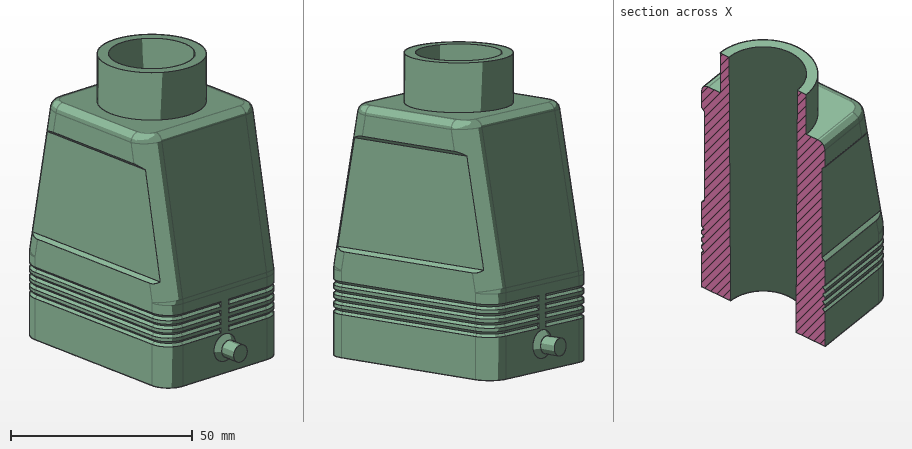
import cadquery as cq
import math

BODY_LENGTH = 60.2
BODY_WIDTH = 43.0
TOTAL_HEIGHT = 85.5
BODY_HEIGHT = 71.6
BEND_HEIGHT = 25.0
END_WALL_LEAN = 11.0
BEND_RADIUS = 6.8
CORNER_RADIUS = 6.0
TOP_EDGE_RADIUS = 2.5

COLLAR_DIAMETER = 30.1
BORE_MOUTH_DIAMETER = 23.8
BORE_FOOT_DIAMETER = 22.75

RECESS_BOTTOM = 29.8
RECESS_TOP = 63.1
RECESS_DEPTH = 1.0

GROOVE_COUNT = 4
LOWEST_GROOVE_HEIGHT = 12.9
GROOVE_PITCH = 2.6
GROOVE_DEPTH = 0.8
GROOVE_FLANK_ANGLE = 45.0
GROOVE_GAP = 3.0

PIN_SPAN = 73.0
PIN_DIAMETER = 5.05
PIN_HEIGHT = 7.5
PIN_BASE_DIAMETER = 8.0

CLEARANCE = 0.85


def make_body():
    """Rounded block with vertical lower walls and end walls that lean inwards."""
    half_length = BODY_LENGTH / 2
    half_top = half_length - (BODY_HEIGHT - BEND_HEIGHT) * math.tan(math.radians(END_WALL_LEAN))
    outline = [
        (-half_length, 0),
        (half_length, 0),
        (half_length, BEND_HEIGHT),
        (half_top, BODY_HEIGHT),
        (-half_top, BODY_HEIGHT),
        (-half_length, BEND_HEIGHT),
    ]
    block = cq.Workplane("XZ").polyline(outline).close().extrude(BODY_WIDTH / 2, both=True)

    bend_edges = cq.selectors.BoxSelector(
        (-BODY_LENGTH, -BODY_WIDTH, BEND_HEIGHT - CLEARANCE),
        (BODY_LENGTH, BODY_WIDTH, BEND_HEIGHT + CLEARANCE),
    )
    block = block.edges("|Y").edges(bend_edges).fillet(BEND_RADIUS)
    block = block.faces("<Y or >Y").edges("not |X").fillet(CORNER_RADIUS)
    return block.faces(">Z").edges().fillet(TOP_EDGE_RADIUS)


def make_recess(side):
    """Cutter for one recess; side is -1 for the front face and 1 for the back."""
    face_y = side * BODY_WIDTH / 2
    floor_y = face_y - side * RECESS_DEPTH
    outside_y = face_y + side * CLEARANCE
    section = [
        (outside_y, RECESS_BOTTOM - CLEARANCE),
        (floor_y, RECESS_BOTTOM + RECESS_DEPTH),
        (floor_y, RECESS_TOP - RECESS_DEPTH),
        (outside_y, RECESS_TOP + CLEARANCE),
    ]
    return cq.Workplane("YZ").polyline(section).close().extrude(BODY_LENGTH / 2, both=True)


def rounded_foot(height):
    """Workplane at a height carrying the plan outline of the foot."""
    outline = cq.Sketch().rect(BODY_LENGTH, BODY_WIDTH).vertices().fillet(CORNER_RADIUS)
    return cq.Workplane("XY", origin=(0, 0, height)).placeSketch(outline)


def make_groove(height):
    """Cutter for one V-groove around the foot, open at the middle of each end wall."""
    ring = cq.Workplane("XY", origin=(0, 0, height)).box(
        BODY_LENGTH + 2 * CLEARANCE, BODY_WIDTH + 2 * CLEARANCE, 2 * GROOVE_DEPTH
    )
    lower_core = rounded_foot(height - GROOVE_DEPTH).extrude(GROOVE_DEPTH, taper=GROOVE_FLANK_ANGLE)
    upper_core = rounded_foot(height + GROOVE_DEPTH).extrude(-GROOVE_DEPTH, taper=GROOVE_FLANK_ANGLE)
    gap = cq.Workplane("XY", origin=(0, 0, height)).box(
        2 * BODY_LENGTH, GROOVE_GAP, 4 * GROOVE_DEPTH
    )
    return ring.cut(lower_core).cut(upper_core).cut(gap)


def make_pin(side):
    """Locking pin with a conical root; side is -1 or 1 along X."""
    wall_x = BODY_LENGTH / 2
    cone_length = (PIN_BASE_DIAMETER - PIN_DIAMETER) / 2
    half_section = [
        (wall_x - CLEARANCE, 0),
        (wall_x - CLEARANCE, PIN_BASE_DIAMETER / 2),
        (wall_x, PIN_BASE_DIAMETER / 2),
        (wall_x + cone_length, PIN_DIAMETER / 2),
        (PIN_SPAN / 2, PIN_DIAMETER / 2),
        (PIN_SPAN / 2, 0),
    ]
    pin = cq.Workplane("XY").polyline(half_section).close().revolve(360, (0, 0, 0), (1, 0, 0))
    if side < 0:
        pin = pin.mirror("YZ")
    return pin.translate((0, 0, PIN_HEIGHT))


def make_collar():
    """Round cable collar, started slightly below the body's top face."""
    root = BODY_HEIGHT - CLEARANCE
    return cq.Workplane("XY", origin=(0, 0, root)).circle(COLLAR_DIAMETER / 2).extrude(TOTAL_HEIGHT - root)


def make_bore():
    """Cutter for the bore: a through hole that narrows slightly from the mouth to the foot."""
    half_section = [
        (0, 0),
        (BORE_FOOT_DIAMETER / 2, 0),
        (BORE_MOUTH_DIAMETER / 2, TOTAL_HEIGHT),
        (0, TOTAL_HEIGHT),
    ]
    return cq.Workplane("XZ").polyline(half_section).close().revolve(360, (0, 0, 0), (0, 1, 0))


result = make_body()
for side in (-1, 1):
    result = result.cut(make_recess(side))
for index in range(GROOVE_COUNT):
    result = result.cut(make_groove(LOWEST_GROOVE_HEIGHT + index * GROOVE_PITCH))
for side in (-1, 1):
    result = result.union(make_pin(side))
result = result.union(make_collar()).cut(make_bore())